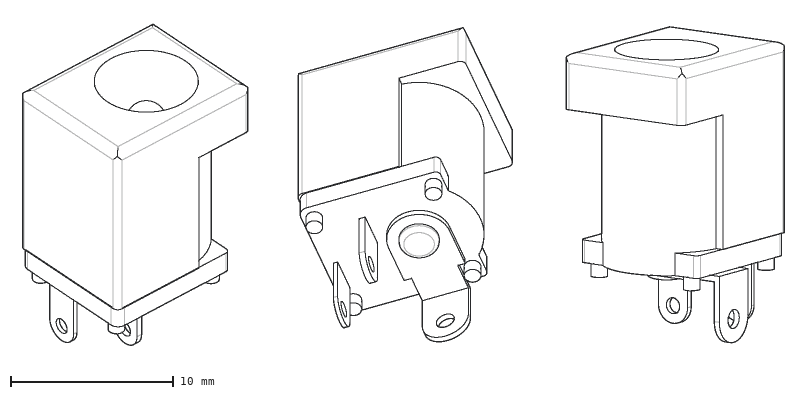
import cadquery as cq

width = 9.0
depth = 11.0
height = 17.8
top_round = 0.6
corner_round = 0.4
housing_bottom = 5.82
hood_bottom = 14.28
shoulder_y = 1.23

axis_y = 0.9
barrel_radius = 4.0
bore_radius = 3.2
recess_radius = 1.75
pin_radius = 1.25
pin_tip = 16.02
pin_tail_round = 0.3

base_width = 8.9
base_front = -5.45
base_rear = 3.83
base_bottom = 4.4
base_front_round = 0.6
base_rear_round = 0.32
peg_radius = 0.52
peg_spacing = 7.01
peg_rows = (-4.68, 3.13)
peg_bottom = 3.52

sheet = 0.4
thin_sheet = 0.28
tab_width = 2.22
tab_spacing = 2.81
tab_hole = 1.0
left_tab_y = -4.68
right_tab_y = -1.9
side_tab_width = 3.03
side_tab_hole = 1.17
side_tab_hole_z = 1.48
side_tab_outer_x = -5.09
contact_width = 4.0
contact_left = -2.8


def block(x_min, x_max, y_min, y_max, z_min, z_max):
    """Box given by its limits."""
    return cq.Workplane("XY").box(
        x_max - x_min, y_max - y_min, z_max - z_min, centered=False
    ).translate((x_min, y_min, z_min))


def post(radius, x, y, z_min, z_max):
    """Upright cylinder."""
    return cq.Workplane("XY", origin=(x, y, z_min)).circle(radius).extrude(z_max - z_min)


def housing_block():
    """Box with rounded uprights and top edges that meet in mitred corners."""
    limits = (-width / 2, width / 2, -depth / 2, depth / 2, housing_bottom, height)
    uprights = block(*limits).edges("|Z").fillet(corner_round)
    sides = block(*limits).edges("|Y and >Z").fillet(top_round)
    ends = block(*limits).edges("|X and >Z").fillet(top_round)
    return uprights.intersect(sides).intersect(ends)


def base_plate():
    plate = block(-base_width / 2, base_width / 2, base_front, base_rear, base_bottom, housing_bottom)
    plate = plate.edges("|Z and <Y").fillet(base_front_round)
    return plate.edges("|Z and >Y").fillet(base_rear_round)


def solder_tab(tab_size, thickness, hole_diameter, hole_z, top):
    """Tab in the XZ plane with a round lower end, centred on X and Y."""
    end_radius = tab_size / 2
    tab = (
        cq.Workplane("XZ", origin=(0, thickness / 2, 0))
        .moveTo(-end_radius, top)
        .lineTo(-end_radius, end_radius)
        .threePointArc((0, 0), (end_radius, end_radius))
        .lineTo(end_radius, top)
        .close()
        .extrude(thickness)
    )
    hole = (
        cq.Workplane("XZ", origin=(0, thickness / 2, 0))
        .center(0, hole_z)
        .circle(hole_diameter / 2)
        .extrude(thickness)
    )
    return tab.cut(hole)


def front_tab(x, y, thickness):
    tab = solder_tab(tab_width, thickness, tab_hole, tab_width / 2, base_bottom)
    return tab.translate((x, y, 0))


def pin_contact():
    """Round-ended plate below the base, with an arm bent down into the side tab."""
    plate_bottom = base_bottom - sheet
    half = contact_width / 2
    plate = block(contact_left, 0, axis_y - half, axis_y + half, plate_bottom, base_bottom)
    plate = plate.union(post(half, 0, axis_y, plate_bottom, base_bottom))
    arm_half = side_tab_width / 2
    arm = block(side_tab_outer_x, contact_left, axis_y - arm_half, axis_y + arm_half,
                plate_bottom, base_bottom)
    tab = solder_tab(side_tab_width, sheet, side_tab_hole, side_tab_hole_z, base_bottom)
    tab = tab.rotate((0, 0, 0), (0, 0, 1), 90)
    return plate.union(arm).union(tab.translate((side_tab_outer_x + sheet / 2, axis_y, 0)))


def centre_pin():
    """Pin with a hemispherical tip and a rounded tail."""
    tip_centre = pin_tip - pin_radius
    shank = post(pin_radius, 0, axis_y, peg_bottom, tip_centre)
    shank = shank.faces("<Z").edges().fillet(pin_tail_round)
    return shank.union(cq.Workplane("XY").sphere(pin_radius).translate((0, axis_y, tip_centre)))


rear_space = block(-width / 2, width / 2, shoulder_y, depth / 2, housing_bottom, hood_bottom)
body = housing_block().cut(rear_space)
body = body.union(post(barrel_radius, 0, axis_y, base_bottom, hood_bottom))
body = body.union(base_plate())

body = body.cut(post(bore_radius, 0, axis_y, housing_bottom, height))
body = body.cut(post(recess_radius, 0, axis_y, base_bottom, housing_bottom))

for peg_y in peg_rows:
    for side in (-1, 1):
        body = body.union(post(peg_radius, side * peg_spacing / 2, peg_y, peg_bottom, base_bottom))

body = body.union(front_tab(-tab_spacing / 2, left_tab_y, thin_sheet))
body = body.union(front_tab(tab_spacing / 2, right_tab_y, sheet))
result = body.union(pin_contact()).union(centre_pin())